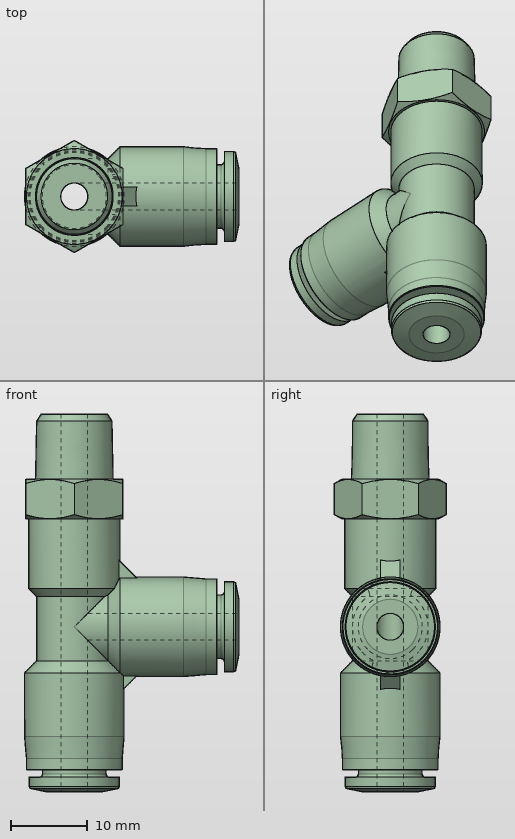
import cadquery as cq

TOTAL_HEIGHT = 49.3
BRANCH_Z = 21.55
BRANCH_LENGTH = 21.5
BORE_DIAMETER = 3.5

SOCKET_RADIUS = 6.5
SOCKET_MOUTH_RADIUS = 6.25
SOCKET_MOUTH_CHAMFER = 0.1
SOCKET_MOUTH = 2.85
SOCKET_TAPER_END = 4.35
SOCKET_TAPER_START = 7.25
SOCKET_SHOULDER = 15.55
STEM_RADIUS = 4.95
PUSH_RING_DIAMETER = 11.8
PUSH_RING_EDGE_RADIUS = 5.75
PUSH_RING_BACK = 1.9
PUSH_RING_EDGE = 0.45
PUSH_RING_FACE = 0.75
PUSH_RING_TIP_RADIUS = 3.6
RING_NECK_DIAMETER = 8.35
RING_NECK_FILLET = 0.45

SLEEVE_RADIUS = 5.95
SLEEVE_BOTTOM = 26.5
HEX_BOTTOM = 35.6
HEX_TOP = 40.8
HEX_CORNER_DIAMETER = 14.65
HEX_CHAMFER_RADIUS = 6.25
HEX_CHAMFER_HEIGHT = 0.6
MALE_ROOT_RADIUS = 5.1
MALE_END_RADIUS = 4.95
MALE_TIP_RADIUS = 4.35
MALE_CHAMFER_HEIGHT = 0.95

WEB_REACH = 14.55
WEB_THICKNESS = 2.5


def revolve_z(profile):
    """Revolve a closed (radius, z) profile about the Z axis."""
    return cq.Workplane("XZ").polyline(profile).close().revolve(360, (0, 0), (0, 1))


def make_socket(stem_end):
    """Tube socket and push ring on Z, tip at z = 0, with its stem running to stem_end."""
    shoulder_end = SOCKET_SHOULDER + SOCKET_RADIUS - STEM_RADIUS
    ring_radius = PUSH_RING_DIAMETER / 2
    neck_radius = RING_NECK_DIAMETER / 2
    socket = revolve_z([
        (0, 0),
        (PUSH_RING_TIP_RADIUS, 0),
        (PUSH_RING_EDGE_RADIUS, PUSH_RING_EDGE),
        (ring_radius, PUSH_RING_FACE),
        (ring_radius, PUSH_RING_BACK),
        (neck_radius, PUSH_RING_BACK),
        (neck_radius, SOCKET_MOUTH),
        (SOCKET_MOUTH_RADIUS - SOCKET_MOUTH_CHAMFER, SOCKET_MOUTH),
        (SOCKET_MOUTH_RADIUS, SOCKET_MOUTH + SOCKET_MOUTH_CHAMFER),
        (SOCKET_MOUTH_RADIUS, SOCKET_TAPER_END),
        (SOCKET_RADIUS, SOCKET_TAPER_START),
        (SOCKET_RADIUS, SOCKET_SHOULDER),
        (STEM_RADIUS, shoulder_end),
        (STEM_RADIUS, stem_end),
        (0, stem_end),
    ])
    neck_corner = cq.selectors.BoxSelector(
        (-ring_radius, -ring_radius, PUSH_RING_BACK - RING_NECK_FILLET),
        (ring_radius, ring_radius, PUSH_RING_BACK + RING_NECK_FILLET),
    )
    neck_edge = cq.selectors.RadiusNthSelector(0)
    return socket.edges(neck_corner).edges("%CIRCLE").edges(neck_edge).fillet(RING_NECK_FILLET)


def make_branch():
    """Socket turned to point along +X, its stem mitred into the run at the axis crossing."""
    socket = make_socket(BRANCH_LENGTH)
    return socket.rotate((0, 0, 0), (0, 1, 0), -90).translate((BRANCH_LENGTH, 0, BRANCH_Z))


def make_upper_run():
    """Sleeve above the branch and the tapered male end."""
    return revolve_z([
        (0, SLEEVE_BOTTOM - SLEEVE_RADIUS + STEM_RADIUS),
        (STEM_RADIUS, SLEEVE_BOTTOM - SLEEVE_RADIUS + STEM_RADIUS),
        (SLEEVE_RADIUS, SLEEVE_BOTTOM),
        (SLEEVE_RADIUS, HEX_BOTTOM),
        (MALE_ROOT_RADIUS, HEX_TOP),
        (MALE_END_RADIUS, TOTAL_HEIGHT - MALE_CHAMFER_HEIGHT),
        (MALE_TIP_RADIUS, TOTAL_HEIGHT),
        (0, TOTAL_HEIGHT),
    ])


def make_hexagon():
    """Hexagon with corners on Y, its corners bevelled at both ends."""
    corner_radius = HEX_CORNER_DIAMETER / 2
    prism = (
        cq.Workplane("XY", origin=(0, 0, HEX_BOTTOM))
        .polygon(6, HEX_CORNER_DIAMETER)
        .extrude(HEX_TOP - HEX_BOTTOM)
        .rotate((0, 0, 0), (0, 0, 1), 30)
    )
    bevel_envelope = revolve_z([
        (0, HEX_BOTTOM),
        (HEX_CHAMFER_RADIUS, HEX_BOTTOM),
        (corner_radius, HEX_BOTTOM + HEX_CHAMFER_HEIGHT),
        (corner_radius, HEX_TOP - HEX_CHAMFER_HEIGHT),
        (HEX_CHAMFER_RADIUS, HEX_TOP),
        (0, HEX_TOP),
    ])
    return prism.intersect(bevel_envelope)


def make_webs():
    """45 degree webs above and below the branch, centred on Y = 0."""
    return (
        cq.Workplane("XZ")
        .polyline([(0, BRANCH_Z - WEB_REACH), (WEB_REACH, BRANCH_Z), (0, BRANCH_Z + WEB_REACH)])
        .close()
        .extrude(WEB_THICKNESS / 2, both=True)
    )


def make_bores():
    """Through bore of the run, met by the bore of the branch."""
    run_bore = cq.Workplane("XY").circle(BORE_DIAMETER / 2).extrude(TOTAL_HEIGHT)
    branch_bore = (
        cq.Workplane("YZ", origin=(0, 0, BRANCH_Z))
        .circle(BORE_DIAMETER / 2)
        .extrude(BRANCH_LENGTH)
    )
    return run_bore.union(branch_bore)


run = make_socket(SLEEVE_BOTTOM).union(make_upper_run()).union(make_hexagon())
result = run.union(make_branch()).union(make_webs()).cut(make_bores())